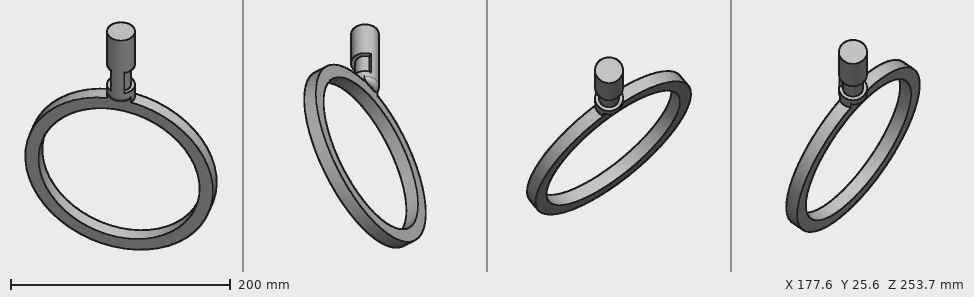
import cadquery as cq

total_height = 253.7
ring_outer_radius = 88.8
ring_inner_radius = 76.0
ring_width = 13.0

stem_radius = 12.8
stem_bottom = 178.0
bottom_fillet = 5.3

groove_radius = 9.1
groove_bottom = 190.3
groove_top = 214.5
rib_angle = 60.0


def make_ring():
    """Flat ring standing in the XZ plane, with its lowest point at Z = 0."""
    return (
        cq.Workplane("XZ", origin=(0, ring_width / 2, ring_outer_radius))
        .circle(ring_outer_radius)
        .circle(ring_inner_radius)
        .extrude(ring_width)
    )


def make_stem():
    """Round stem with a rounded lower edge."""
    return (
        cq.Workplane("XY", origin=(0, 0, stem_bottom))
        .circle(stem_radius)
        .extrude(total_height - stem_bottom)
        .faces("<Z")
        .edges()
        .fillet(bottom_fillet)
    )


def make_neck():
    """Straight slice of the stem, as thick as the ring, running down into it."""
    neck_bottom = (ring_outer_radius + ring_inner_radius) / 2 + ring_outer_radius
    neck_height = groove_bottom - neck_bottom
    cylinder = cq.Workplane("XY", origin=(0, 0, neck_bottom)).circle(stem_radius).extrude(neck_height)
    slab = (
        cq.Workplane("XY", origin=(0, 0, neck_bottom))
        .rect(2 * stem_radius, ring_width)
        .extrude(neck_height)
    )
    return cylinder.intersect(slab)


def make_groove():
    """Rectangular groove section swept around the stem, with radial end walls beside the rib."""
    section = (
        cq.Workplane("XZ")
        .moveTo(groove_radius, groove_bottom)
        .lineTo(2 * stem_radius, groove_bottom)
        .lineTo(2 * stem_radius, groove_top)
        .lineTo(groove_radius, groove_top)
        .close()
    )
    sweep_start = -90 + rib_angle / 2
    groove = section.revolve(360 - rib_angle, (0, 0, 0), (0, 1, 0))
    return groove.rotate((0, 0, 0), (0, 0, 1), sweep_start)


result = make_ring().union(make_stem()).union(make_neck()).cut(make_groove())